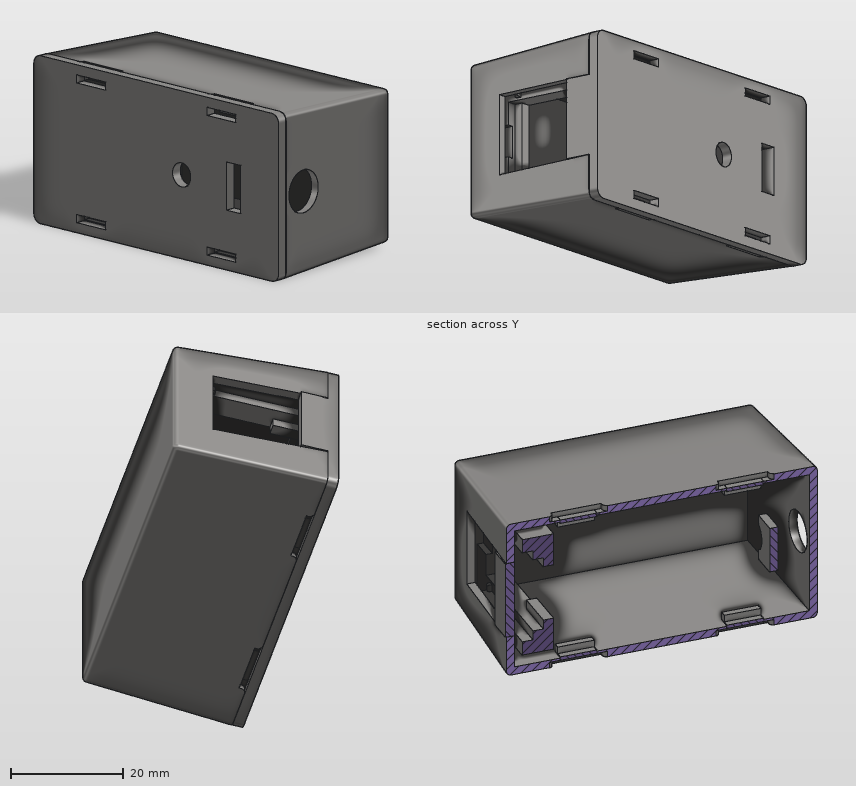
import cadquery as cq
import math

LENGTH = 60.25
DEPTH = 30.3
HEIGHT = 31.1

PLATE_THICKNESS = 2.0
PLATE_CORNER_RADIUS = 1.7
SCREW_HOLE_X = 6.25
SCREW_HOLE_RADIUS = 2.2

WALL = 1.6
COVER_INSET = 0.2
DRAFT_ANGLE = 2.4
COVER_EDGE_RADIUS = 0.95
CABLE_HOLE_RADIUS = 4.0
CABLE_HOLE_Y = 6.85

WINDOW_HALF_WIDTH = 7.4
WINDOW_TOP = 23.15
TONGUE_TOP = 7.0

SNAP_X = 16.0
SLOT_LENGTH = 7.05
SLOT_WIDTH = 1.5
SLOT_EDGE_DISTANCE = 1.85
TAB_INNER_Z = 13.5
TAB_THICKNESS = 0.8
LEDGE_HEIGHT = 1.25
NOTCH_LENGTH = 9.65
NOTCH_HEIGHT = 1.25
NOTCH_FLARE_RADIUS = 0.95

TIE_SLOT_LEFT = 17.3
TIE_SLOT_RIGHT = 20.7
SADDLE_HALF_WIDTH = 4.45
SADDLE_TOP = 7.4
SADDLE_THICKNESS = 1.6
SADDLE_ARC_RADIUS = 2.85
SADDLE_ARC_Y = 8.55

FRAME_FRONT = -24.8
FRAME_STEP = 2.0
FRAME_THICKNESS = 2 * FRAME_STEP
FRAME_HALF_WIDTH = 11.75
OPENING_CLEARANCE = 0.25
HOOK_POCKET_RISE = 1.3
LATCH_HALF_WIDTH = 2.95
LATCH_DEPTH = 1.2
FOOT_TOP = 10.05
FOOT_INNER_Z = 5.35
RAIL_DEPTH = 2.05
RAIL_INNER_Z = 9.0
PAD_DEPTH = 0.7
PAD_INNER_Z = 7.6
PAD_BOTTOM = 21.55
PAD_TOP = 22.4
PAD_FILLET = 0.35

ROOF_Y = DEPTH - WALL
SLOT_OUTER_Z = HEIGHT / 2 - SLOT_EDGE_DISTANCE
SLOT_INNER_Z = SLOT_OUTER_Z - SLOT_WIDTH
TAB_OUTER_Z = TAB_INNER_Z + TAB_THICKNESS
NOTCH_CEILING = PLATE_THICKNESS + NOTCH_HEIGHT

END_WALL_REACH = COVER_INSET + WALL + DEPTH * math.tan(math.radians(DRAFT_ANGLE))
LEFT_END_WALL = (-LENGTH / 2, -LENGTH / 2 + END_WALL_REACH)
RIGHT_END_WALL = (LENGTH / 2 - END_WALL_REACH, LENGTH / 2)


def block(x_range, y_range, z_range):
    """Box spanning the given coordinate ranges."""
    ranges = (x_range, y_range, z_range)
    size = [high - low for low, high in ranges]
    return cq.Workplane("XY").box(*size, centered=False).translate([low for low, high in ranges])


def rod_along_x(x_range, y, radius):
    """Round bar along X at z = 0."""
    start, end = x_range
    return cq.Workplane("YZ", origin=(start, y, 0)).circle(radius).extrude(end - start)


def drafted_block(inset, top):
    """Block rising from the plate with drafted sides, its foot inset from the plate outline."""
    foot = cq.Plane(origin=(0, PLATE_THICKNESS, 0), xDir=(1, 0, 0), normal=(0, 1, 0))
    outline = cq.Workplane(foot).rect(LENGTH - 2 * inset, HEIGHT - 2 * inset)
    return outline.extrude(top - PLATE_THICKNESS, taper=DRAFT_ANGLE)


def snap_x_range(x):
    """X range shared by the slot, the tab and the ledge of one snap."""
    return (x - SLOT_LENGTH / 2, x + SLOT_LENGTH / 2)


def snap_tab(x):
    """Tab on the base that fills the opening in the cover wall behind a notch."""
    return block(snap_x_range(x), (PLATE_THICKNESS, NOTCH_CEILING), (TAB_INNER_Z, TAB_OUTER_Z))


def snap_ledge(x):
    """Ledge on the inside of the cover wall, right above a tab and its slot."""
    ledge_y = (NOTCH_CEILING, NOTCH_CEILING + LEDGE_HEIGHT)
    return block(snap_x_range(x), ledge_y, (SLOT_INNER_Z, TAB_OUTER_Z))


def snap_notch(x):
    """Flared notch at the plate, cut into the +Z wall of the cover as deep as the tab face."""
    half = NOTCH_LENGTH / 2
    foot_half = half + NOTCH_FLARE_RADIUS
    flare_top = PLATE_THICKNESS + NOTCH_FLARE_RADIUS
    arc_offset = NOTCH_FLARE_RADIUS * math.sqrt(0.5)
    arc_x = foot_half - arc_offset
    arc_y = flare_top - arc_offset
    return (
        cq.Workplane("XY", origin=(x, 0, TAB_OUTER_Z))
        .moveTo(-foot_half, PLATE_THICKNESS)
        .threePointArc((-arc_x, arc_y), (-half, flare_top))
        .lineTo(-half, NOTCH_CEILING)
        .lineTo(half, NOTCH_CEILING)
        .lineTo(half, flare_top)
        .threePointArc((arc_x, arc_y), (foot_half, PLATE_THICKNESS))
        .close()
        .extrude(HEIGHT / 2 - TAB_OUTER_Z)
    )


def make_cover():
    """Drafted shell, open towards the plate."""
    cover = drafted_block(COVER_INSET, DEPTH)
    cover = cover.edges("not(<Y)").fillet(COVER_EDGE_RADIUS)
    cover = cover.cut(drafted_block(COVER_INSET + WALL, ROOF_Y))

    window = block(
        LEFT_END_WALL,
        (PLATE_THICKNESS, WINDOW_TOP),
        (-WINDOW_HALF_WIDTH, WINDOW_HALF_WIDTH),
    )
    cover = cover.cut(window)

    cable_exit = rod_along_x(RIGHT_END_WALL, CABLE_HOLE_Y, CABLE_HOLE_RADIUS)
    cover = cover.cut(cable_exit)

    for x in (-SNAP_X, SNAP_X):
        for cutter in (snap_notch(x), snap_tab(x)):
            cover = cover.cut(cutter).cut(cutter.mirror("XY"))
        ledge = snap_ledge(x)
        cover = cover.union(ledge).union(ledge.mirror("XY"))
    return cover


def make_cable_saddle():
    """Rib with a round trough that carries the cable."""
    x_range = (TIE_SLOT_RIGHT, TIE_SLOT_RIGHT + SADDLE_THICKNESS)
    rib = block(x_range, (0, SADDLE_TOP), (-SADDLE_HALF_WIDTH, SADDLE_HALF_WIDTH))
    return rib.cut(rod_along_x(x_range, SADDLE_ARC_Y, SADDLE_ARC_RADIUS))


def make_base():
    """Plate with the window tongue, snap slots and tabs, screw hole and cable saddle."""
    plate = block((-LENGTH / 2, LENGTH / 2), (0, PLATE_THICKNESS), (-HEIGHT / 2, HEIGHT / 2))
    base = plate.edges("|Y").fillet(PLATE_CORNER_RADIUS)
    tongue = block(
        (-LENGTH / 2, -LENGTH / 2 + COVER_INSET + WALL),
        (0, TONGUE_TOP),
        (-WINDOW_HALF_WIDTH, WINDOW_HALF_WIDTH),
    )
    base = base.union(tongue)
    base = base.union(make_cable_saddle())

    for x in (-SNAP_X, SNAP_X):
        slot = block(snap_x_range(x), (0, PLATE_THICKNESS), (SLOT_INNER_Z, SLOT_OUTER_Z))
        tab = snap_tab(x)
        base = base.cut(slot).cut(slot.mirror("XY"))
        base = base.union(tab).union(tab.mirror("XY"))

    tie_slot = block(
        (TIE_SLOT_LEFT, TIE_SLOT_RIGHT),
        (0, PLATE_THICKNESS),
        (-SADDLE_HALF_WIDTH, SADDLE_HALF_WIDTH),
    )
    screw_plane = cq.Workplane("XZ", origin=(SCREW_HOLE_X, 0, 0))
    screw_hole = screw_plane.circle(SCREW_HOLE_RADIUS).extrude(-PLATE_THICKNESS)
    return base.cut(tie_slot).cut(screw_hole)


def make_jack_frame():
    """Upright frame between plate and roof, with a stepped opening for the jack."""
    back = FRAME_FRONT + FRAME_THICKNESS
    step = FRAME_FRONT + FRAME_STEP
    opening_half = WINDOW_HALF_WIDTH - OPENING_CLEARANCE
    opening_top = WINDOW_TOP - OPENING_CLEARANCE
    hook_top = WINDOW_TOP + HOOK_POCKET_RISE
    opening_z = (-opening_half, opening_half)

    frame_z = (-FRAME_HALF_WIDTH, FRAME_HALF_WIDTH)
    frame = block((FRAME_FRONT, back), (PLATE_THICKNESS, ROOF_Y), frame_z)
    frame = frame.cut(block((FRAME_FRONT, back), (PLATE_THICKNESS, opening_top), opening_z))
    frame = frame.cut(block((FRAME_FRONT, step), (PLATE_THICKNESS, hook_top), opening_z))

    latch_x = (FRAME_FRONT, FRAME_FRONT + LATCH_DEPTH)
    frame = frame.cut(block(latch_x, (opening_top, ROOF_Y), (-LATCH_HALF_WIDTH, LATCH_HALF_WIDTH)))

    rail_x = (FRAME_FRONT - RAIL_DEPTH, FRAME_FRONT)
    rail = block(rail_x, (PLATE_THICKNESS, PAD_TOP), (RAIL_INNER_Z, FRAME_HALF_WIDTH))

    pad_x = (FRAME_FRONT - PAD_DEPTH, FRAME_FRONT)
    pad = block(pad_x, (PAD_BOTTOM, PAD_TOP), (PAD_INNER_Z, FRAME_HALF_WIDTH))
    pad = pad.edges("<X and (<Y or <Z)").fillet(PAD_FILLET)

    foot = block((step, back), (PLATE_THICKNESS, FOOT_TOP), (FOOT_INNER_Z, opening_half))
    for addition in (rail, pad, foot):
        frame = frame.union(addition).union(addition.mirror("XY"))
    return frame


cover = make_cover().solids()
base = make_base().solids()
jack_frame = make_jack_frame().solids()

result = cq.Compound.makeCompound([cover.val(), base.val(), jack_frame.val()])